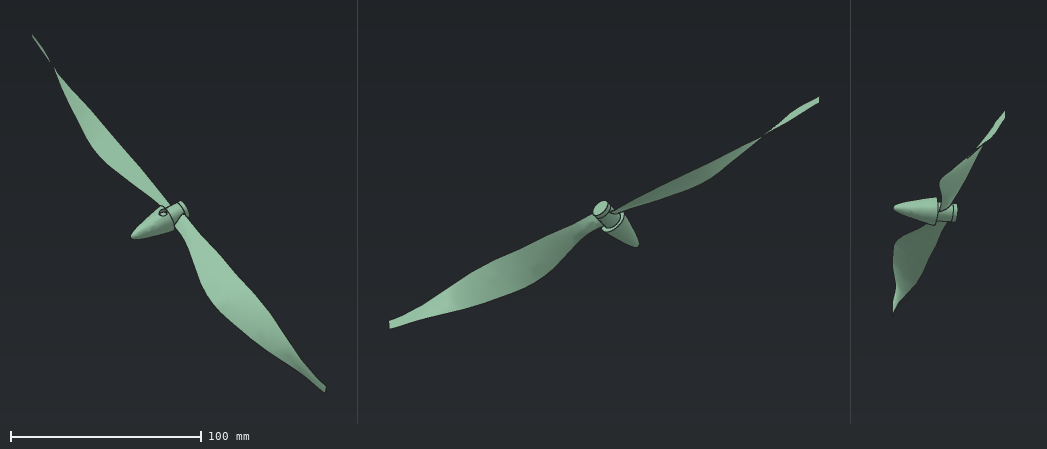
import cadquery as cq
import math

SPAN = 280.0
HUB_RADIUS = 5.0
FLANGE_THICKNESS = 2.5
HUB_LENGTH = 8.7
SPINNER_RADIUS = 7.5
SPINNER_LENGTH = 22.7

FLANK_RADIUS = 5.0
FLANK_DISTANCE = 11.8
NOSE_RADIUS = 2.2
NOSE_DISTANCE = 20.7
REAR_TAPER = 0.15

SCREW_HOLE_DIAMETER = 4.2
SCREW_HOLE_SETBACK = 2.2
SCREW_HOLE_FLOOR = 4.5

HUB_REAR_Y = -FLANGE_THICKNESS
SPINNER_REAR_Y = HUB_REAR_Y - HUB_LENGTH
TIP_RADIUS = SPAN / 2

BLADE_SECTIONS = [
    (2.8, -3.5, 3.0, -10.0, -2.2, 2.2),
    (9.0, -3.0, 3.5, -10.5, -1.5, 1.7),
    (18.2, -3.0, 3.0, -11.8, -0.3, 1.5),
    (33.5, -2.5, 4.2, -16.2, -1.5, 1.5),
    (49.0, -2.5, 5.0, -20.0, -3.0, 1.5),
    (63.0, -2.5, 6.5, -20.0, -4.5, 1.0),
    (81.2, -2.2, 7.3, -16.5, -5.3, 1.0),
    (100.8, -3.5, 6.7, -12.0, -5.0, 1.0),
    (120.5, -4.8, 5.3, -6.5, -4.2, 0.8),
    (131.5, -4.2, 4.8, -5.0, -2.8, 0.5),
    (TIP_RADIUS, -3.5, 5.3, -4.0, -1.5, 0.5),
]


def round_bar(radius, rear_y, length):
    """Solid cylinder that runs from rear_y toward -Y."""
    return cq.Workplane("XZ", origin=(0, rear_y, 0)).circle(radius).extrude(length)


def blade_section(distance, rear_y, rear_z, front_y, front_z, thickness):
    """Thin lens across the blade, with its two edges at the given points."""
    chord = math.hypot(front_y - rear_y, front_z - rear_z)
    bulge_y = -(front_z - rear_z) / chord * thickness / 2
    bulge_z = (front_y - rear_y) / chord * thickness / 2
    middle_y = (rear_y + front_y) / 2
    middle_z = (rear_z + front_z) / 2
    rear = cq.Vector(distance, rear_y, rear_z)
    front = cq.Vector(distance, front_y, front_z)
    one_face = cq.Vector(distance, middle_y + bulge_y, middle_z + bulge_z)
    other_face = cq.Vector(distance, middle_y - bulge_y, middle_z - bulge_z)
    return cq.Wire.assembleEdges([
        cq.Edge.makeThreePointArc(rear, one_face, front),
        cq.Edge.makeThreePointArc(front, other_face, rear),
    ])


def make_flange():
    """Plain disc behind the hub."""
    return round_bar(HUB_RADIUS, 0, FLANGE_THICKNESS)


def make_propeller():
    """Hub with two twisted blades, half a turn apart about the Y axis."""
    blade = cq.Solid.makeLoft([blade_section(*section) for section in BLADE_SECTIONS])
    propeller = round_bar(HUB_RADIUS, HUB_REAR_Y, HUB_LENGTH)
    for angle in (0, 180):
        propeller = propeller.union(cq.Workplane(blade).rotate((0, 0, 0), (0, 1, 0), angle))
    return propeller


def make_spinner():
    """Ogive nose with a blind screw hole in its top, close to the hub."""
    tip_y = SPINNER_REAR_Y - SPINNER_LENGTH
    ogive_points = [
        (SPINNER_RADIUS, SPINNER_REAR_Y),
        (FLANK_RADIUS, SPINNER_REAR_Y - FLANK_DISTANCE),
        (NOSE_RADIUS, SPINNER_REAR_Y - NOSE_DISTANCE),
        (0, tip_y),
    ]
    end_tangents = [(-REAR_TAPER, -1), (-1, 0)]
    ogive = (
        cq.Workplane("XY")
        .moveTo(0, SPINNER_REAR_Y)
        .lineTo(SPINNER_RADIUS, SPINNER_REAR_Y)
        .spline(ogive_points, tangents=end_tangents)
        .close()
        .revolve(360, (0, 0, 0), (0, 1, 0))
    )
    screw_hole = (
        cq.Workplane("XY", origin=(0, SPINNER_REAR_Y - SCREW_HOLE_SETBACK, SCREW_HOLE_FLOOR))
        .circle(SCREW_HOLE_DIAMETER / 2)
        .extrude(SPINNER_RADIUS)
    )
    return ogive.cut(screw_hole)


flange = make_flange()
propeller = make_propeller()
spinner = make_spinner()

result = cq.Compound.makeCompound([flange.val(), propeller.val(), spinner.val()])